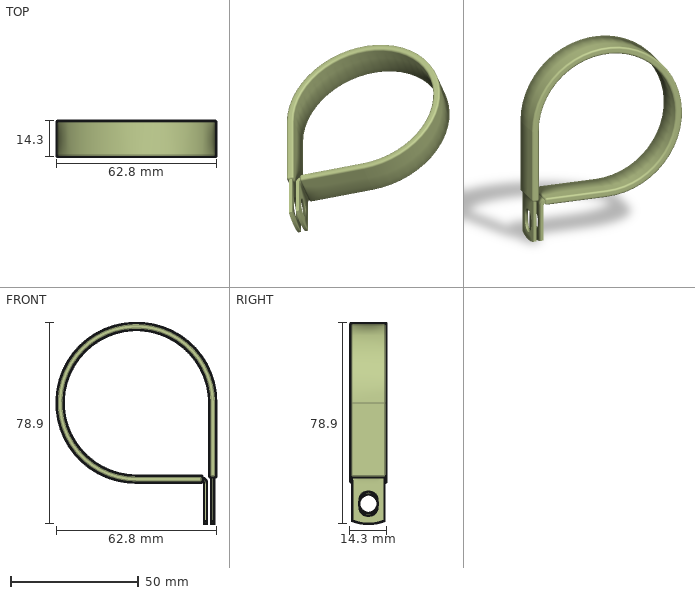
import cadquery as cq
import math

outer_diameter = 62.75
overall_height = 78.9
strap_thickness = 1.3
strap_width = 12.7
rubber_wall = 0.8
vertical_sleeve_end = 29.4
horizontal_sleeve_end = 26.0
bend_inner_radius = 1.0
inner_tab_outside = 27.7
hole_diameter = 7.2
slot_length = 9.5
hole_above_tip = 8.0
tip_rise = 1.3

outer_radius = outer_diameter / 2
sleeve_thickness = strap_thickness + 2 * rubber_wall
sleeve_width = strap_width + 2 * rubber_wall
sleeve_inner_radius = outer_radius - sleeve_thickness
strap_outer_radius = outer_radius - rubber_wall
strap_inner_radius = strap_outer_radius - strap_thickness
bend_outer_radius = bend_inner_radius + strap_thickness
bend_start_x = inner_tab_outside - bend_outer_radius
inner_tab_inside = inner_tab_outside - strap_thickness
tip_z = outer_radius - overall_height
tab_corner_z = tip_z + tip_rise
hole_z = tip_z + hole_above_tip
diagonal = math.sqrt(0.5)


def extrude_centered(profile, width):
    """Extrude an XZ profile symmetrically about Y = 0."""
    return profile.extrude(width / 2, both=True)


def make_sleeve():
    """Three-quarter loop with two straight legs and fully rounded edges."""
    outer_mid = outer_radius * diagonal
    inner_mid = sleeve_inner_radius * diagonal
    profile = (
        cq.Workplane("XZ")
        .moveTo(outer_radius, -vertical_sleeve_end)
        .lineTo(outer_radius, 0)
        .threePointArc((-outer_mid, outer_mid), (0, -outer_radius))
        .lineTo(horizontal_sleeve_end, -outer_radius)
        .lineTo(horizontal_sleeve_end, -sleeve_inner_radius)
        .lineTo(0, -sleeve_inner_radius)
        .threePointArc((-inner_mid, inner_mid), (sleeve_inner_radius, 0))
        .lineTo(sleeve_inner_radius, -vertical_sleeve_end)
        .close()
    )
    return extrude_centered(profile, sleeve_width).edges().fillet(rubber_wall)


def make_strap():
    """Metal strap through the sleeve, with one end bent down beside the other."""
    outer_mid = strap_outer_radius * diagonal
    inner_mid = strap_inner_radius * diagonal
    bend_z = -strap_inner_radius - bend_outer_radius
    bend_inner_mid = bend_inner_radius * diagonal
    bend_outer_mid = bend_outer_radius * diagonal
    profile = (
        cq.Workplane("XZ")
        .moveTo(strap_outer_radius, tip_z)
        .lineTo(strap_outer_radius, 0)
        .threePointArc((-outer_mid, outer_mid), (0, -strap_outer_radius))
        .lineTo(bend_start_x, -strap_outer_radius)
        .threePointArc(
            (bend_start_x + bend_inner_mid, bend_z + bend_inner_mid),
            (inner_tab_inside, bend_z),
        )
        .lineTo(inner_tab_inside, tip_z)
        .lineTo(inner_tab_outside, tip_z)
        .lineTo(inner_tab_outside, bend_z)
        .threePointArc(
            (bend_start_x + bend_outer_mid, bend_z + bend_outer_mid),
            (bend_start_x, -strap_inner_radius),
        )
        .lineTo(0, -strap_inner_radius)
        .threePointArc((-inner_mid, inner_mid), (strap_inner_radius, 0))
        .lineTo(strap_inner_radius, tip_z)
        .close()
    )
    return extrude_centered(profile, strap_width)


def make_side_outline():
    """Prism along X that rounds the tab tips and leaves the rest of the strap."""
    half_width = strap_width / 2
    return (
        cq.Workplane("YZ")
        .moveTo(-half_width, outer_radius)
        .lineTo(-half_width, tab_corner_z)
        .threePointArc((0, tip_z), (half_width, tab_corner_z))
        .lineTo(half_width, outer_radius)
        .close()
        .extrude(outer_radius, both=True)
    )


def make_round_hole():
    """Cutter along X through the bent tab."""
    return (
        cq.Workplane("YZ", origin=(inner_tab_inside, 0, hole_z))
        .circle(hole_diameter / 2)
        .extrude(strap_thickness)
    )


def make_slot():
    """Vertical slot cutter along X through the straight tab, as wide as the round hole."""
    return (
        cq.Workplane("YZ", origin=(strap_inner_radius, 0, hole_z))
        .slot2D(slot_length, hole_diameter, 90)
        .extrude(strap_thickness)
    )


strap = (
    make_strap()
    .intersect(make_side_outline())
    .cut(make_round_hole())
    .cut(make_slot())
)
result = make_sleeve().union(strap)